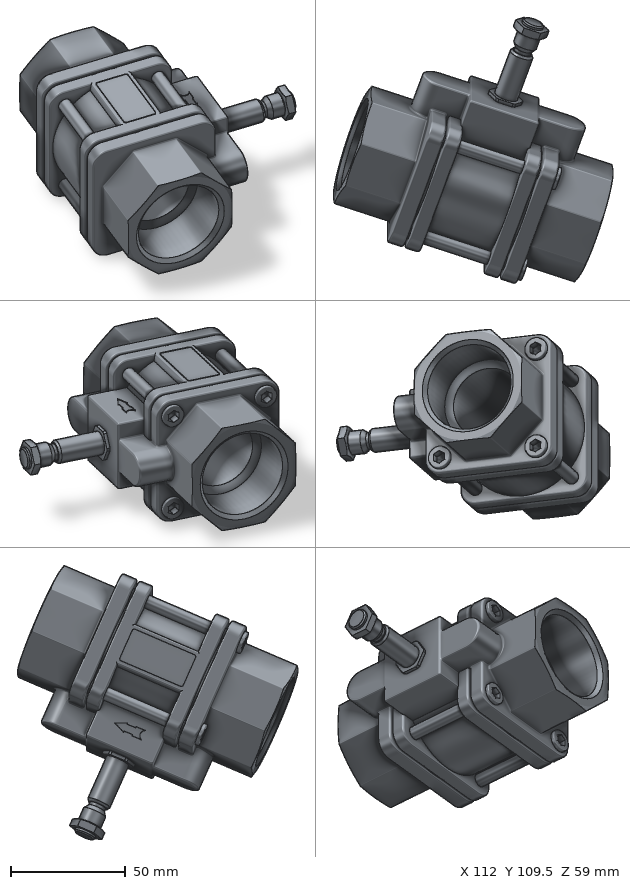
import cadquery as cq
import math


edge_round = 1.0
seam_tolerance = 0.0001

flange_width = 59.0
flange_half = flange_width / 2
bolt_offset = 22.4
flange_corner = flange_half - bolt_offset
outer_flange_face = 29.7
outer_flange_thick = 7.2
inner_flange_thick = 6.5
flange_gap = 1.0
inner_flange_face = outer_flange_face - outer_flange_thick - flange_gap

body_length = 112.0
octagon_flats = 50.0
octagon_half = octagon_flats / 2
half_sector = 360 / 8 / 2
end_chamfer_angle = 15.0
thread_radius = 19.4
thread_depth = 23.5
bore_shoulder = 1.7
mouth_radius = 21.2
mouth_depth = 1.8
bore_radius = 15.9

barrel_radius = 28.2
plate_half_width = 9.6
plate_draft = 10.0
plate_depth = 5.6
label_length = 30.2
label_width = 15.3
label_corner = 1.0
mark_depth = 0.3

rod_radius = 3.0
bolt_spots = [(side_y * bolt_offset, side_z * bolt_offset) for side_y in (-1, 1) for side_z in (-1, 1)]
head_radius = 5.0
head_height = 1.8
head_round = 0.5
socket_flats = 5.0
socket_depth = 4.0
socket_tip = 1.7

block_width = 32.0
block_top = 42.0
arm_top = 41.5
arm_radius = 8.0
arm_center = 29.7

arrow_y = 31.6
arrow_tail = -7.0
arrow_notch = -5.5
arrow_feather_end = -2.6
arrow_barb = 1.5
arrow_tip = 6.7
arrow_half = 2.2
arrow_shaft_half = 1.7

stem_radius = 5.3
groove_radius = 3.8
shoulder_radius = 4.5
nut_neck_radius = 4.3
tip_radius = 4.8
tip_chamfer = 0.7
foot_flats = 14.0
hex_radius = 7.7
nut_bevel = 0.3
foot_height = 1.6
stem_end = 22.1
shoulder_end = 23.2
groove_end = 24.6
collar_start = 26.8
collar_end = 32.4
nut_start = 32.9
nut_end = 36.4
overall_y = 109.5
sensor_length = overall_y - flange_half - block_top


def cylinder_x(radius, start, end):
    """Cylinder on the X axis."""
    return cq.Workplane("YZ", origin=(start, 0, 0)).circle(radius).extrude(end - start)


def flange(outer_face, thickness):
    """Rounded square plate on the +X side, both faces filleted."""
    return (
        cq.Workplane("YZ", origin=(outer_face, 0, 0))
        .rect(flange_width, flange_width)
        .extrude(-thickness)
        .edges("|X").fillet(flange_corner)
        .faces("<X or >X").edges().fillet(edge_round)
    )


def octagon_socket():
    """Octagonal end on the +X side, its end corners turned down to a shallow cone."""
    start = outer_flange_face - outer_flange_thick / 2
    end = body_length / 2
    corner_diameter = octagon_flats / math.cos(math.radians(half_sector))
    prism = (
        cq.Workplane("YZ", origin=(start, 0, 0))
        .transformed(rotate=(0, 0, half_sector))
        .polygon(8, corner_diameter)
        .extrude(end - start)
        .edges("|X").fillet(edge_round)
    )
    blank_radius = corner_diameter / 2
    slope = (blank_radius - octagon_half) * math.tan(math.radians(end_chamfer_angle))
    turned_blank = (
        cq.Workplane("XY")
        .polyline([
            (start, 0),
            (end, 0),
            (end, octagon_half),
            (end - slope, blank_radius),
            (start, blank_radius),
        ])
        .close()
        .revolve(360, (0, 0, 0), (1, 0, 0))
    )
    return prism.intersect(turned_blank)


def end_cap():
    """Outer flange with its octagonal socket, filleted where they meet."""
    cap = flange(outer_flange_face, outer_flange_thick).union(octagon_socket())
    reach = octagon_half + edge_round
    near = outer_flange_face - seam_tolerance
    far = outer_flange_face + seam_tolerance
    seam = cq.selectors.BoxSelector((near, -reach, -reach), (far, reach, reach), boundingbox=True)
    return cap.edges(seam).fillet(edge_round)


def both_ends(shape):
    """The +X shape and its mirror image."""
    return shape.union(shape.mirror("YZ"))


def label_plate():
    """Flat plate on top of the barrel, joining the two inner flanges."""
    length = 2 * inner_flange_face - inner_flange_thick
    foot_half_width = plate_half_width + plate_depth * math.tan(math.radians(plate_draft))
    bottom = flange_half - plate_depth
    return (
        cq.Workplane("YZ", origin=(-length / 2, 0, 0))
        .polyline([
            (-foot_half_width, bottom),
            (foot_half_width, bottom),
            (plate_half_width, flange_half),
            (-plate_half_width, flange_half),
        ])
        .close()
        .extrude(length)
        .edges("|X and >Z").fillet(edge_round)
    )


def sensor_block():
    return (
        cq.Workplane("XZ")
        .rect(block_width, block_width)
        .extrude(-block_top)
        .edges("|Y").fillet(edge_round)
        .faces(">Y").edges().fillet(edge_round)
    )


def side_arms():
    """Round-ended bar beside the sockets, through the sensor block."""
    return (
        cq.Workplane("XZ")
        .slot2D(2 * (arm_center + arm_radius), 2 * arm_radius)
        .extrude(-arm_top)
        .faces(">Y").edges().fillet(edge_round)
    )


def with_side_arms(base):
    """The base joined to the side arms, filleted along the seam between them."""
    arms = side_arms()

    def on_seam(edge):
        points = [cq.Vertex.makeVertex(*edge.positionAt(t).toTuple()) for t in (0.1, 0.5, 0.9)]
        gaps = [side.val().distance(point) for side in (arms, base) for point in points]
        return max(gaps) < seam_tolerance

    return base.union(arms).edges().filter(on_seam).fillet(edge_round)


def bolts():
    """Four through bolts with rounded heads on the -X side."""
    rods = (
        cq.Workplane("YZ", origin=(-outer_flange_face + outer_flange_thick / 2, 0, 0))
        .pushPoints(bolt_spots).circle(rod_radius)
        .extrude(2 * outer_flange_face - outer_flange_thick)
    )
    heads = (
        cq.Workplane("YZ", origin=(-outer_flange_face, 0, 0))
        .pushPoints(bolt_spots).circle(head_radius)
        .extrude(-head_height)
        .faces("<X").edges().fillet(head_round)
    )
    return rods.union(heads)


def bolt_sockets():
    """Hexagon sockets in the bolt heads, corners along Z, with conical bottoms."""
    corner_radius = socket_flats / 2 / math.cos(math.pi / 6)
    rim = -outer_flange_face - head_height
    bottom = rim + socket_depth
    tip = bottom + socket_tip
    prism = (
        cq.Workplane("YZ", origin=(rim, 0, 0))
        .transformed(rotate=(0, 0, 90))
        .polygon(6, 2 * corner_radius)
        .extrude(tip - rim)
    )
    drill = (
        cq.Workplane("XY")
        .polyline([(rim, 0), (tip, 0), (bottom, corner_radius), (rim, corner_radius)]).close()
        .revolve(360, (0, 0, 0), (1, 0, 0))
    )
    socket = prism.intersect(drill)
    return [socket.translate((0, y, z)) for y, z in bolt_spots]


def flow_passage():
    """Straight bore with a wider, countersunk thread bore at each end."""
    end = body_length / 2
    profile = [
        (0, 0),
        (end, 0),
        (end, mouth_radius),
        (end - mouth_depth, thread_radius),
        (end - thread_depth, thread_radius),
        (end - thread_depth - bore_shoulder, bore_radius),
        (0, bore_radius),
    ]
    half = cq.Workplane("XY").polyline(profile).close().revolve(360, (0, 0, 0), (1, 0, 0))
    return both_ends(half)


def label_recess():
    return (
        cq.Workplane("XY", origin=(0, 0, flange_half))
        .rect(label_length, label_width)
        .extrude(-mark_depth)
        .edges("|Z").fillet(label_corner)
    )


def flow_arrow():
    return (
        cq.Workplane("XY", origin=(0, arrow_y, block_width / 2))
        .moveTo(arrow_tail, arrow_half)
        .lineTo(arrow_feather_end, arrow_half)
        .lineTo(arrow_feather_end, arrow_shaft_half)
        .lineTo(arrow_barb, arrow_shaft_half)
        .lineTo(arrow_barb, arrow_half)
        .lineTo(arrow_tip, 0)
        .lineTo(arrow_barb, -arrow_half)
        .lineTo(arrow_barb, -arrow_shaft_half)
        .lineTo(arrow_feather_end, -arrow_shaft_half)
        .lineTo(arrow_feather_end, -arrow_half)
        .lineTo(arrow_tail, -arrow_half)
        .threePointArc((arrow_notch, 0), (arrow_tail, arrow_half))
        .close()
        .extrude(-mark_depth)
    )


def valve_body():
    barrel_half = inner_flange_face + flange_gap + edge_round
    body = cylinder_x(barrel_radius, -barrel_half, barrel_half)
    body = body.union(both_ends(flange(inner_flange_face, inner_flange_thick))).union(label_plate())
    body = body.union(with_side_arms(sensor_block())).union(both_ends(with_side_arms(end_cap())))
    body = body.union(bolts()).cut(flow_passage()).cut(label_recess()).cut(flow_arrow())
    for socket in bolt_sockets():
        body = body.cut(socket)
    return body


def hexagon(corner_radius, start, end):
    """Hexagonal prism along the sensor, with corners at +-X."""
    workplane = cq.Workplane("XZ", origin=(0, block_top + start, 0))
    return workplane.polygon(6, 2 * corner_radius).extrude(start - end)


def turned(profile):
    """Solid of revolution about Y from (radius, distance along the sensor) points."""
    return (
        cq.Workplane("XY", origin=(0, block_top, 0))
        .polyline(profile).close()
        .revolve(360, (0, 0, 0), (0, 1, 0))
    )


def foot():
    """Hexagon with its corners turned down to a cylinder."""
    corner_radius = foot_flats / 2 / math.cos(math.pi / 6)
    blank = turned([(0, 0), (hex_radius, 0), (hex_radius, foot_height), (0, foot_height)])
    return hexagon(corner_radius, 0, foot_height).intersect(blank)


def nut():
    """Hexagon nut, its corners beveled on the face toward the valve."""
    flat_radius = hex_radius * math.cos(math.pi / 6)
    blank = turned([
        (0, nut_start),
        (flat_radius, nut_start),
        (hex_radius, nut_start + nut_bevel),
        (hex_radius, nut_end),
        (0, nut_end),
    ])
    return hexagon(hex_radius, nut_start, nut_end).intersect(blank)


def sensor():
    """Grooved stem with a hexagonal foot and a nut near its tip."""
    profile = [
        (0, 0),
        (stem_radius, 0),
        (stem_radius, stem_end),
        (shoulder_radius, shoulder_end),
        (groove_radius, shoulder_end),
        (groove_radius, groove_end),
        (stem_radius, collar_start),
        (stem_radius, collar_end),
        (nut_neck_radius, collar_end),
        (nut_neck_radius, nut_start),
        (tip_radius, nut_start),
        (tip_radius, sensor_length - tip_chamfer),
        (tip_radius - tip_chamfer, sensor_length),
        (0, sensor_length),
    ]
    return turned(profile).union(foot()).union(nut())


result = cq.Compound.makeCompound([valve_body().val(), sensor().val()])